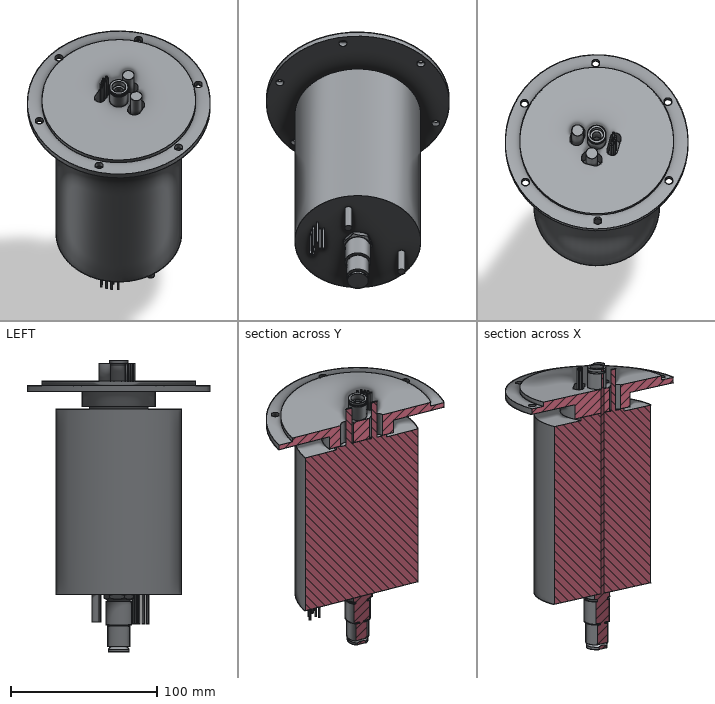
import cadquery as cq
import math

overall_height = 199
lead_top = 197.0
flange_top = 184.9
rim_top = 181.9
rim_bottom = 177.7
collar_bottom = 167.5
housing_top = 165.8
housing_bottom = 39.2
tube_bottom = 20.3
wire_bottom = 19.1

rim_diameter = 125.0
raised_face_diameter = 105.0
collar_diameter = 50.0
bolt_hole_count = 6
bolt_hole_diameter = 5.4
bolt_circle_radius = 56.5

housing_diameter = 86.0
neck_diameter = 40.2

upper_tube_diameter = 8.0
upper_tube_offset = 9.5
tube_slot_width = 9.2
tube_slot_length = 14.1
lower_tube_diameter = 5.0
lower_tubes = [(-27.3, 16.0), (27.3, 14.7)]

wire_diameter = 1.3
wire_slot_center = (-8.4, -8.8)
wire_slot_width = 7.4
wire_slot_length = 16.3
slot_angle = 45
upper_wires = [
    (-12.3, -5.2), (-10.7, -4.8), (-11.1, -7.5), (-9.4, -8.8),
    (-8.8, -7.0), (-7.4, -8.4), (-7.5, -10.5), (-4.5, -10.5),
]
lower_wires = [
    (24.3, -10.0), (26.0, -11.7), (31.5, -9.5), (30.2, -14.0),
    (26.5, -16.5), (28.5, -17.0), (24.3, -19.3), (26.0, -20.0),
]

joint_diameter = 12.7
tip_groove_top = 197.0
tip_groove_width = 1.2
tip_groove_depth = 0.4
mouth_diameter = 9.4
mouth_depth = 4.4
bore_diameter = 6.0
bore_depth = 16.0
drill_tip_angle = 118

fitting_rotation = 22
hex_corner_diameter = 20.5
hex_bottom = 35.6
hex_lower_chamfer_height = 1.2
hex_lower_end_diameter = 16.0
hex_upper_chamfer_height = 0.5
hex_upper_end_diameter = 18.5
hex_neck_diameter = 15.5
sleeve_top = 34.5
sleeve_bottom = 18.5
sleeve_diameter = 17.5
body_top = 17.7
body_bottom = 3.5
body_diameter = 15.3
body_neck_diameter = 13.1
release_neck_diameter = 11.3
release_ring_height = 1.8
release_ring_diameter = 14.3


def cylinder(diameter, bottom, top, center=(0, 0)):
    """Upright cylinder between two heights."""
    disc = cq.Workplane("XY", origin=(center[0], center[1], bottom)).circle(diameter / 2)
    return disc.extrude(top - bottom)


def slot_cutter(center, length, width, angle):
    """Round-ended slot through the whole flange and collar."""
    sketch = cq.Workplane("XY", origin=(center[0], center[1], collar_bottom)).slot2D(length, width, angle)
    return sketch.extrude(flange_top - collar_bottom)


def make_flange():
    """Stepped flange with its collar, bolt holes, lead slots and joint hole."""
    flange = cylinder(rim_diameter, rim_bottom, rim_top)
    flange = flange.union(cylinder(raised_face_diameter, rim_top, flange_top))
    flange = flange.union(cylinder(collar_diameter, collar_bottom, rim_bottom))
    for index in range(bolt_hole_count):
        angle = math.radians(90 + index * 360 / bolt_hole_count)
        center = (bolt_circle_radius * math.cos(angle), bolt_circle_radius * math.sin(angle))
        flange = flange.cut(cylinder(bolt_hole_diameter, rim_bottom, rim_top, center))
    for side in (-1, 1):
        center = (side * upper_tube_offset, upper_tube_offset)
        flange = flange.cut(slot_cutter(center, tube_slot_length, tube_slot_width, -side * slot_angle))
    flange = flange.cut(slot_cutter(wire_slot_center, wire_slot_length, wire_slot_width, -slot_angle))
    return flange.cut(cylinder(joint_diameter, collar_bottom, flange_top))


def make_slip_ring():
    """Housing and neck, with the tubes and wires that leave both ends."""
    ring = cylinder(housing_diameter, housing_bottom, housing_top)
    ring = ring.union(cylinder(neck_diameter, housing_top, collar_bottom))
    for side in (-1, 1):
        center = (side * upper_tube_offset, upper_tube_offset)
        ring = ring.union(cylinder(upper_tube_diameter, collar_bottom, lead_top, center))
    for center in upper_wires:
        ring = ring.union(cylinder(wire_diameter, collar_bottom, lead_top, center))
    for center in lower_tubes:
        ring = ring.union(cylinder(lower_tube_diameter, tube_bottom, housing_bottom, center))
    for center in lower_wires:
        ring = ring.union(cylinder(wire_diameter, wire_bottom, housing_bottom, center))
    return ring.cut(cylinder(joint_diameter, housing_bottom, collar_bottom))


def revolve_profile(points):
    """Solid of revolution about Z from (radius, height) points."""
    outline = [(-radius, height) for radius, height in points]
    return cq.Workplane("XZ").polyline(outline).close().revolve(360, (0, 0, 0), (0, 1, 0))


def make_joint_shaft():
    """Shaft with a shallow groove near its tip and a stepped, conically ended bore."""
    shaft = cylinder(joint_diameter, housing_bottom, overall_height)
    groove = cylinder(joint_diameter, tip_groove_top - tip_groove_width, tip_groove_top)
    groove = groove.cut(
        cylinder(joint_diameter - 2 * tip_groove_depth, tip_groove_top - tip_groove_width, tip_groove_top)
    )
    bore_radius = bore_diameter / 2
    mouth_radius = mouth_diameter / 2
    ledge = overall_height - mouth_depth
    bore_end = overall_height - bore_depth
    drill_tip = bore_end - bore_radius / math.tan(math.radians(drill_tip_angle / 2))
    bore = revolve_profile([
        (0, overall_height),
        (mouth_radius, overall_height),
        (mouth_radius, ledge),
        (bore_radius, ledge),
        (bore_radius, bore_end),
        (0, drill_tip),
    ])
    return shaft.cut(groove).cut(bore)


def make_hex_nut():
    """Hexagon with its upper and lower corners turned off to cones."""
    hexagon = cq.Workplane("XY", origin=(0, 0, hex_bottom)).polygon(6, hex_corner_diameter)
    hexagon = hexagon.extrude(housing_bottom - hex_bottom)
    turned = revolve_profile([
        (0, housing_bottom),
        (hex_upper_end_diameter / 2, housing_bottom),
        (hex_corner_diameter / 2, housing_bottom - hex_upper_chamfer_height),
        (hex_corner_diameter / 2, hex_bottom + hex_lower_chamfer_height),
        (hex_lower_end_diameter / 2, hex_bottom),
        (0, hex_bottom),
    ])
    return hexagon.intersect(turned)


def make_push_fitting():
    """Turned sleeve, body and release ring below the nut."""
    return revolve_profile([
        (0, hex_bottom),
        (hex_neck_diameter / 2, hex_bottom),
        (hex_neck_diameter / 2, sleeve_top),
        (sleeve_diameter / 2, sleeve_top),
        (sleeve_diameter / 2, sleeve_bottom),
        (body_neck_diameter / 2, sleeve_bottom),
        (body_neck_diameter / 2, body_top),
        (body_diameter / 2, body_top),
        (body_diameter / 2, body_bottom),
        (release_neck_diameter / 2, body_bottom),
        (release_ring_diameter / 2, release_ring_height),
        (release_ring_diameter / 2, 0),
        (0, 0),
    ])


def make_rotary_joint():
    """Shaft through the slip ring and flange, with the fitting at its lower end."""
    fitting = make_hex_nut().union(make_push_fitting())
    fitting = fitting.rotate((0, 0, 0), (0, 0, 1), fitting_rotation)
    return make_joint_shaft().union(fitting)


flange = make_flange()
slip_ring = make_slip_ring()
rotary_joint = make_rotary_joint()

result = cq.Compound.makeCompound([flange.val(), slip_ring.val(), rotary_joint.val()])